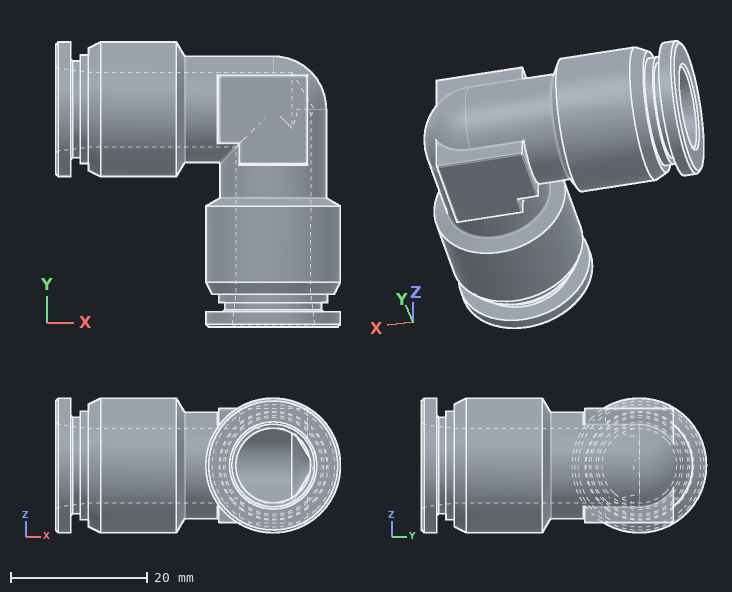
import cadquery as cq
import math

OVERALL = 41.9
BODY_RADIUS = 9.91
TUBE_RADIUS = 7.85
BORE_RADIUS = 5.5
ARM_LENGTH = OVERALL - BODY_RADIUS

COLLAR_WIDTH = 2.25
COLLAR_CHAMFER = 0.4
NECK_RADIUS = 7.12
ROOT_CHAMFER = 0.25
RING_RADIUS = 8.0

NECK_END = 3.6
RING_END = 4.8
FRONT_CONE_END = 6.6
BODY_END = 17.75
BACK_CONE_END = 19.0
FRONT_CONE_RADIUS = 9.0

MOUTH_RADIUS = 6.4
MOUTH_CHAMFER = 0.35
TAPER_END = 5.03
DRILL_DEPTH_PAST_CENTRE = 2.72
DRILL_POINT_ANGLE = 118.0

PAD_HEIGHT = 8.42
PAD_INNER = -8.0
PAD_OUTER = 5.0
PAD_NOTCH = -PAD_OUTER

EDGE_FILLET = 0.2


def revolve_about_x(points):
    """Full revolution of (x, radius) points about the X axis."""
    return cq.Workplane("XY").polyline(points).close().revolve(360, (0, 0, 0), (1, 0, 0))


def to_y_arm(solid):
    """Swing a shape from the -X arm to the -Y arm."""
    return solid.rotate((0, 0, 0), (0, 0, 1), 90)


def make_arm():
    """Solid arm along -X, from its open end to the elbow centre."""
    profile = [
        (0, 0),
        (0, BODY_RADIUS - COLLAR_CHAMFER),
        (COLLAR_CHAMFER, BODY_RADIUS),
        (COLLAR_WIDTH, BODY_RADIUS),
        (COLLAR_WIDTH, NECK_RADIUS + ROOT_CHAMFER),
        (COLLAR_WIDTH + ROOT_CHAMFER, NECK_RADIUS),
        (NECK_END, NECK_RADIUS),
        (NECK_END, RING_RADIUS),
        (RING_END, RING_RADIUS),
        (RING_END, FRONT_CONE_RADIUS),
        (FRONT_CONE_END, BODY_RADIUS),
        (BODY_END, BODY_RADIUS),
        (BACK_CONE_END, TUBE_RADIUS),
        (ARM_LENGTH, TUBE_RADIUS),
        (ARM_LENGTH, 0),
    ]
    arm = revolve_about_x([(station - ARM_LENGTH, radius) for station, radius in profile])
    cone_foot = cq.selectors.BoxSelector(
        (BACK_CONE_END - ARM_LENGTH - EDGE_FILLET, -BODY_RADIUS, -BODY_RADIUS),
        (BACK_CONE_END - ARM_LENGTH + EDGE_FILLET, BODY_RADIUS, BODY_RADIUS),
        boundingbox=True,
    )
    return arm.edges(cone_foot).fillet(EDGE_FILLET)


def make_bore(end, tip):
    """Bore along the -X arm with a flared mouth, ending at a flat or a drill point."""
    return revolve_about_x([
        (-ARM_LENGTH, 0),
        (-ARM_LENGTH, MOUTH_RADIUS),
        (MOUTH_CHAMFER - ARM_LENGTH, MOUTH_RADIUS - MOUTH_CHAMFER),
        (TAPER_END - ARM_LENGTH, BORE_RADIUS),
        (end, BORE_RADIUS),
        (tip, 0),
    ])


def make_pads():
    """L-shaped block whose two ends stand out above and below the elbow."""
    outline = [
        (PAD_INNER, PAD_OUTER),
        (PAD_OUTER, PAD_OUTER),
        (PAD_OUTER, PAD_INNER),
        (PAD_NOTCH, PAD_INNER),
        (PAD_NOTCH, PAD_NOTCH),
        (PAD_INNER, PAD_NOTCH),
    ]
    block = cq.Workplane("XY").polyline(outline).close().extrude(PAD_HEIGHT, both=True)
    return block.faces(">Z or <Z").edges().fillet(EDGE_FILLET)


def round_inside_corners(body):
    """Fillet the pad feet, the notch corners and the inner seam between the arms."""
    low = PAD_INNER - EDGE_FILLET
    high = PAD_OUTER + EDGE_FILLET
    below_rim = PAD_HEIGHT - 2 * EDGE_FILLET
    feet_and_seam = cq.selectors.BoxSelector(
        (low, low, -below_rim), (high, high, below_rim), boundingbox=True
    )
    notch_low = PAD_NOTCH - EDGE_FILLET
    notch_high = PAD_NOTCH + EDGE_FILLET
    notch = cq.selectors.BoxSelector(
        (notch_low, notch_low, -PAD_HEIGHT), (notch_high, notch_high, PAD_HEIGHT), boundingbox=True
    )
    notch_corners = notch & cq.selectors.ParallelDirSelector(cq.Vector(0, 0, 1))
    return body.edges(feet_and_seam + notch_corners).fillet(EDGE_FILLET)


arm = make_arm()
elbow = cq.Workplane("XY").sphere(TUBE_RADIUS)
body = round_inside_corners(arm.union(to_y_arm(arm)).union(elbow).union(make_pads()))

drill_point = BORE_RADIUS / math.tan(math.radians(DRILL_POINT_ANGLE / 2))
drilled_bore = make_bore(DRILL_DEPTH_PAST_CENTRE, DRILL_DEPTH_PAST_CENTRE + drill_point)
flat_bore = to_y_arm(make_bore(0, 0))

result = body.cut(drilled_bore).cut(flat_bore)